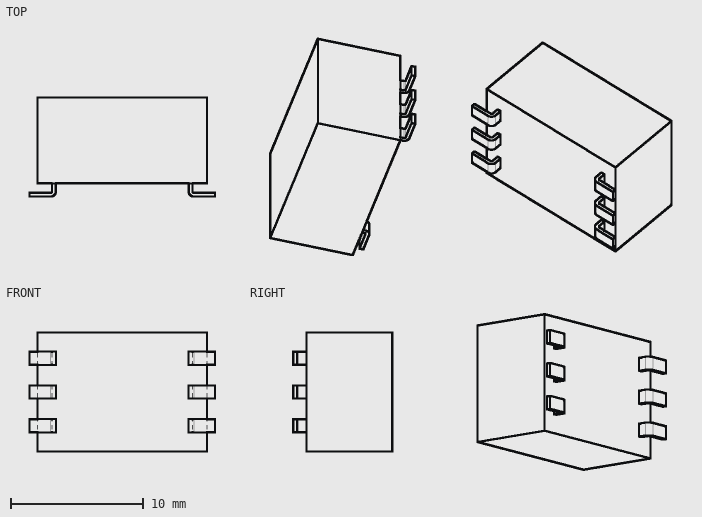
import cadquery as cq

housing_width = 12.8
housing_depth = 6.5
housing_height = 9.0

lead_tip_span = 14.0
lead_foot_length = 2.0
lead_standoff = 1.0
lead_thickness = 0.3
lead_width = 1.0
lead_pitch = 2.54
leads_per_side = 3
inner_bend_radius = 0.1
outer_bend_radius = inner_bend_radius + lead_thickness


def make_housing():
    """Plain rectangular block."""
    return cq.Workplane("XY").box(
        housing_width, housing_depth, housing_height, centered=(True, False, True)
    )


def make_left_lead(center_z):
    """L-shaped strip: a leg leaving the housing face, bent outward into a flat foot."""
    tip_x = -lead_tip_span / 2
    leg_inner_x = tip_x + lead_foot_length
    leg_outer_x = leg_inner_x - lead_thickness
    foot_front_y = -lead_standoff
    foot_back_y = foot_front_y + lead_thickness

    bend_center_x = leg_outer_x - inner_bend_radius
    bend_center_y = foot_back_y + inner_bend_radius
    return (
        cq.Workplane("XY", origin=(0, 0, center_z))
        .moveTo(tip_x, foot_front_y)
        .lineTo(bend_center_x, foot_front_y)
        .radiusArc((leg_inner_x, bend_center_y), -outer_bend_radius)
        .lineTo(leg_inner_x, 0)
        .lineTo(leg_outer_x, 0)
        .lineTo(leg_outer_x, bend_center_y)
        .radiusArc((bend_center_x, foot_back_y), inner_bend_radius)
        .lineTo(tip_x, foot_back_y)
        .close()
        .extrude(lead_width / 2, both=True)
    )


housing = make_housing()

leads = []
for row in range(leads_per_side):
    row_z = (row - (leads_per_side - 1) / 2) * lead_pitch
    left_lead = make_left_lead(row_z)
    right_lead = left_lead.mirror("YZ")
    leads.append(left_lead.val())
    leads.append(right_lead.val())

result = cq.Compound.makeCompound([housing.val(), *leads])